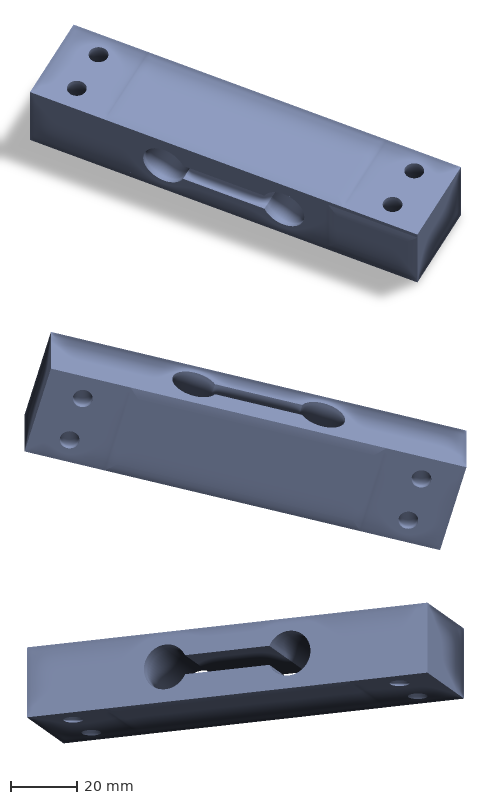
import cadquery as cq
import math

length = 130.0
width = length * 30 / 130
height = length * 22 / 130

layer_rise = 0.25
border_width = 3.1
border_radius = (border_width**2 + layer_rise**2) / (2 * layer_rise)

recess_length = 80.1
recess_depth = 2.1

patch_length = 30.0
patch_height = 19.2
patch_center_x = (length - patch_length) / 2

bore_diameter = 14.0
bore_spacing = 40.0
slot_height = 6.0

hole_diameter = 6.0
hole_spacing_x = 106.0
hole_spacing_y = 15.0


def crowned_bar(span, depth):
    """Bar along Y, resting on Z = 0, whose flat top curves down to nothing at both sides."""
    half = span / 2
    flat_half = half - border_width
    arc_x = flat_half + border_width / 2
    arc_z = layer_rise - border_radius + math.sqrt(border_radius**2 - (border_width / 2) ** 2)
    return (
        cq.Workplane("XZ")
        .moveTo(-half, 0)
        .threePointArc((-arc_x, arc_z), (-flat_half, layer_rise))
        .lineTo(flat_half, layer_rise)
        .threePointArc((arc_x, arc_z), (half, 0))
        .close()
        .extrude(depth / 2, both=True)
    )


def raised_layer(plane, size_x, size_y):
    """Thin layer on a plane, its four curved borders meeting in mitred corners."""
    across = crowned_bar(size_x, size_y)
    along = crowned_bar(size_y, size_x).rotate((0, 0, 0), (0, 0, 1), 90)
    layer = across.intersect(along).val()
    return cq.Workplane(layer.moved(plane.location))


def recess_fill(side):
    """Material in the upper (side = 1) or lower (side = -1) recess, with rounded inner ends."""
    half = recess_length / 2
    face_z = side * height / 2
    floor_z = face_z - side * recess_depth
    arc_inset = recess_depth * (1 - math.sqrt(0.5))
    arc_z = face_z - side * recess_depth * math.sqrt(0.5)
    return (
        cq.Workplane("XZ")
        .moveTo(-half, face_z)
        .threePointArc((-half + arc_inset, arc_z), (-half + recess_depth, floor_z))
        .lineTo(half - recess_depth, floor_z)
        .threePointArc((half - arc_inset, arc_z), (half, face_z))
        .close()
        .extrude(width / 2, both=True)
    )


def patch_fill():
    """Material in the side pocket, which is open at the -Y face and the +X end."""
    pocket_center_y = (recess_depth - width) / 2
    return (
        cq.Workplane("XY")
        .box(patch_length, recess_depth, patch_height)
        .translate((patch_center_x, pocket_center_y, 0))
    )


def make_beam():
    """Beam with its recesses, dumbbell opening and mounting holes."""
    block = cq.Workplane("XY").box(length, width, height).cut(patch_fill())
    for side in (1, -1):
        block = block.cut(recess_fill(side))
    bores = (
        cq.Workplane("XZ")
        .pushPoints([(-bore_spacing / 2, 0), (bore_spacing / 2, 0)])
        .circle(bore_diameter / 2)
        .extrude(width, both=True)
    )
    slot = cq.Workplane("XY").box(bore_spacing, 2 * width, slot_height)
    mounting_holes = (
        cq.Workplane("XY")
        .rarray(hole_spacing_x, hole_spacing_y, 2, 2)
        .circle(hole_diameter / 2)
        .extrude(height, both=True)
    )
    return block.cut(bores).cut(slot).cut(mounting_holes)


def make_seal():
    """Upper and lower fills, joined by the side patch that runs into both of them."""
    patch_plane = cq.Plane(origin=(patch_center_x, -width / 2, 0), xDir=(1, 0, 0), normal=(0, -1, 0))
    seal = raised_layer(patch_plane, patch_length, patch_height).union(patch_fill())
    for side in (1, -1):
        face_plane = cq.Plane(origin=(0, 0, side * height / 2), xDir=(1, 0, 0), normal=(0, 0, side))
        seal = seal.union(recess_fill(side)).union(raised_layer(face_plane, recess_length, width))
    return seal


beam = make_beam()
seal = make_seal()

result = cq.Compound.makeCompound([*beam.solids().vals(), *seal.solids().vals()])